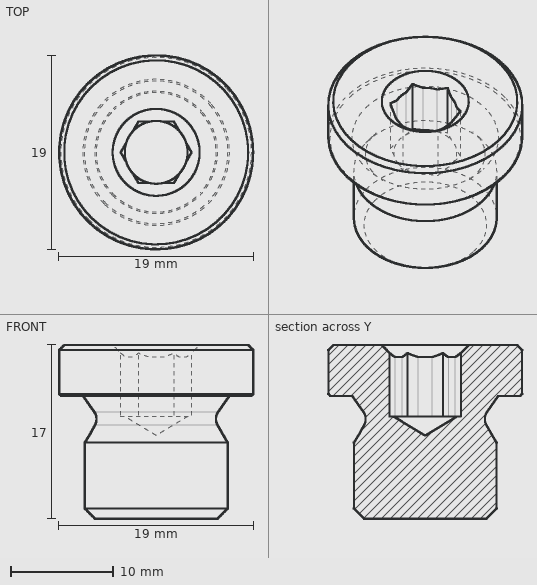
import cadquery as cq
import math

total_height = 17.0
head_radius = 19 / 2
head_height = 5.0
head_top_chamfer = 0.5
head_bottom_chamfer = 0.19

shank_radius = 14.0 / 2
shank_length = 7.45
shank_chamfer = 1.0
neck_radius = 5.85
neck_fillet = 1.2
upper_cone_angle = math.radians(35)
lower_cone_angle = math.radians(30)

socket_width = 6.0
socket_depth = 7.0
relief_diameter = 6.15
mouth_radius = 8.51 / 2
drill_tip_angle = math.radians(118)

head_bottom = total_height - head_height


def neck_arc_point(angle, center_z):
    """Point on the neck fillet, at an angle above its narrowest level."""
    radius = neck_radius + neck_fillet * (1 - math.cos(angle))
    return radius, center_z + neck_fillet * math.sin(angle)


def make_body():
    """Revolve the head, neck and shank about Z."""
    lower_radius, lower_offset = neck_arc_point(-lower_cone_angle, 0)
    lower_cone_height = (shank_radius - lower_radius) / math.tan(lower_cone_angle)
    center_z = shank_length + lower_cone_height - lower_offset
    upper_radius, upper_z = neck_arc_point(upper_cone_angle, center_z)
    cone_top_radius = upper_radius + (head_bottom - upper_z) * math.tan(upper_cone_angle)

    profile = (
        cq.Workplane("XZ")
        .lineTo(shank_radius - shank_chamfer, 0)
        .lineTo(shank_radius, shank_chamfer)
        .lineTo(shank_radius, shank_length)
        .lineTo(*neck_arc_point(-lower_cone_angle, center_z))
        .threePointArc((neck_radius, center_z), (upper_radius, upper_z))
        .lineTo(cone_top_radius, head_bottom)
        .lineTo(head_radius - head_bottom_chamfer, head_bottom)
        .lineTo(head_radius, head_bottom + head_bottom_chamfer)
        .lineTo(head_radius, total_height - head_top_chamfer)
        .lineTo(head_radius - head_top_chamfer, total_height)
        .lineTo(0, total_height)
        .close()
    )
    return profile.revolve(360, (0, 0, 0), (0, 1, 0))


def make_socket():
    """Hexagon with a round relief, a 45 degree mouth and a drill point."""
    floor_z = total_height - socket_depth
    relief_radius = relief_diameter / 2
    tip_depth = relief_radius / math.tan(drill_tip_angle / 2)
    mouth_depth = mouth_radius - relief_radius
    corner_diameter = socket_width / math.cos(math.pi / 6)

    hexagon = (
        cq.Workplane("XY", origin=(0, 0, floor_z))
        .polygon(6, corner_diameter)
        .extrude(socket_depth)
    )
    bore = (
        cq.Workplane("XZ")
        .moveTo(0, floor_z - tip_depth)
        .lineTo(relief_radius, floor_z)
        .lineTo(relief_radius, total_height - mouth_depth)
        .lineTo(mouth_radius, total_height)
        .lineTo(0, total_height)
        .close()
        .revolve(360, (0, 0, 0), (0, 1, 0))
    )
    return hexagon.union(bore)


result = make_body().cut(make_socket())